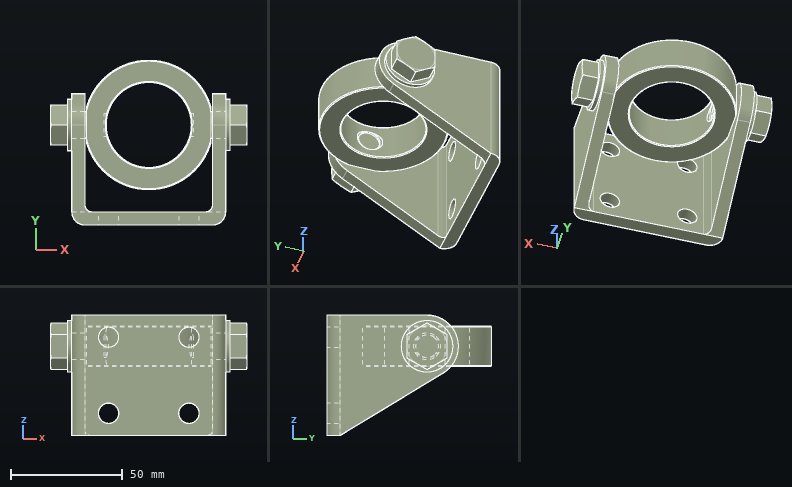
import cadquery as cq
import math


bracket_width = 69.0
bracket_height = 54.0
wall = 6.0
ear_radius = 14.0
plate_front_y = -44.9
outer_bend_radius = wall
inner_bend_radius = 3.0
mount_hole_diameter = 9.0
mount_hole_spacing_x = 36.0
mount_hole_spacing_z = 34.05
mount_hole_top_inset = 10.0

ring_diameter = 58.0
ring_bore = 38.1
ring_height = 18.0
ring_chamfer = 0.4
ring_flat_x = 27.9
screw_hole_diameter = 10.1
countersink_diameter = 12.0
screw_end_x = 19.9

journal_diameter = 12.0
flange_diameter = 23.1
flange_thickness = 1.9
head_across_flats = 18.1
head_chamfer = 0.35
overall_width = 88.2

bracket_top_z = ear_radius
bracket_bottom_z = bracket_top_z - bracket_height
inner_width = bracket_width - 2 * wall
outer_face_x = bracket_width / 2
flange_face_x = outer_face_x + flange_thickness
head_length = overall_width / 2 - flange_face_x


def x_cylinder(diameter, start_x, end_x):
    """Cylinder on the pivot axis between two X positions."""
    return cq.Workplane("YZ", origin=(start_x, 0, 0)).circle(diameter / 2).extrude(end_x - start_x)


def u_channel():
    """Square-ended U of bent plate, open toward +Y."""
    depth = ear_radius - plate_front_y
    block = (
        cq.Workplane("XY", origin=(0, 0, bracket_bottom_z))
        .center(0, plate_front_y + depth / 2)
        .rect(bracket_width, depth)
        .extrude(bracket_height)
        .edges("|Z and <Y")
        .fillet(outer_bend_radius)
    )
    opening = (
        cq.Workplane("XY", origin=(0, 0, bracket_bottom_z))
        .center(0, plate_front_y + wall + depth / 2)
        .rect(inner_width, depth)
        .extrude(bracket_height)
        .edges("|Z and <Y")
        .fillet(inner_bend_radius)
    )
    return block.cut(opening)


def side_profile():
    """Side outline: a round ear whose lower edge runs tangent to the foot of the plate."""
    foot_y = plate_front_y + wall
    foot_distance = math.hypot(foot_y, bracket_bottom_z)
    foot_angle = math.atan2(bracket_bottom_z, foot_y)
    tangent_angle = foot_angle + math.acos(ear_radius / foot_distance)
    tangent_point = (ear_radius * math.cos(tangent_angle), ear_radius * math.sin(tangent_angle))
    return (
        cq.Workplane("YZ", origin=(-outer_face_x, 0, 0))
        .moveTo(plate_front_y, bracket_bottom_z)
        .lineTo(plate_front_y, bracket_top_z)
        .lineTo(0, bracket_top_z)
        .threePointArc((ear_radius, 0), tangent_point)
        .lineTo(foot_y, bracket_bottom_z)
        .close()
        .extrude(bracket_width)
    )


def mount_holes():
    """Four holes through the mounting plate."""
    center_z = bracket_top_z - mount_hole_top_inset - mount_hole_spacing_z / 2
    return (
        cq.Workplane("XZ", origin=(0, plate_front_y, center_z))
        .rarray(mount_hole_spacing_x, mount_hole_spacing_z, 2, 2)
        .circle(mount_hole_diameter / 2)
        .extrude(-wall)
    )


def countersinks():
    """Double-ended 45 degree cone that breaks the cross hole edges inside the ring bore."""
    depth = (countersink_diameter - screw_hole_diameter) / 2
    end_x = ring_bore / 2
    return x_cylinder(countersink_diameter, -end_x, end_x).faces("<X or >X").chamfer(depth)


def ring():
    """Chamfered ring with two side flats and a cross hole for the screws."""
    body = (
        cq.Workplane("XY", origin=(0, 0, -ring_height / 2))
        .circle(ring_diameter / 2)
        .circle(ring_bore / 2)
        .extrude(ring_height)
        .faces("<Z or >Z")
        .chamfer(ring_chamfer)
    )
    flat_limits = cq.Workplane("XY").box(2 * ring_flat_x, ring_diameter, ring_height)
    cross_hole = x_cylinder(screw_hole_diameter, -ring_flat_x, ring_flat_x)
    return body.intersect(flat_limits).cut(cross_hole).cut(countersinks())


def screw_head():
    """Hexagon head with points along Z and chamfered outer corners."""
    across_corners = head_across_flats / math.cos(math.pi / 6)
    hexagon = (
        cq.Workplane("YZ", origin=(flange_face_x, 0, 0))
        .transformed(rotate=(0, 0, 90))
        .polygon(6, across_corners)
        .extrude(head_length)
    )
    corner_width = (across_corners - head_across_flats) / 2
    chamfered_round = (
        cq.Workplane("YZ", origin=(flange_face_x, 0, 0))
        .circle(across_corners / 2)
        .extrude(head_length)
        .faces(">X")
        .chamfer(head_chamfer, corner_width)
    )
    return hexagon.intersect(chamfered_round)


def pivot_screw():
    """Shank, journal, flange and head on the +X side."""
    shank = x_cylinder(screw_hole_diameter, screw_end_x, ring_flat_x)
    journal = x_cylinder(journal_diameter, ring_flat_x, outer_face_x)
    flange = x_cylinder(flange_diameter, outer_face_x, flange_face_x)
    return shank.union(journal).union(flange).union(screw_head())


def make_bracket():
    """U bracket with mounting holes and a pivot bore through both ears."""
    pivot_bore = x_cylinder(journal_diameter, -outer_face_x, outer_face_x)
    return u_channel().intersect(side_profile()).cut(mount_holes()).cut(pivot_bore)


def make_pivot_ring():
    """Ring joined to its two pivot screws, which turn in the bracket bores."""
    body = ring()
    for turn in (0, 180):
        body = body.union(pivot_screw().rotate((0, 0, 0), (0, 0, 1), turn))
    return body


bracket = make_bracket()
pivot_ring = make_pivot_ring()

result = cq.Compound.makeCompound([bracket.solids().val(), pivot_ring.solids().val()])